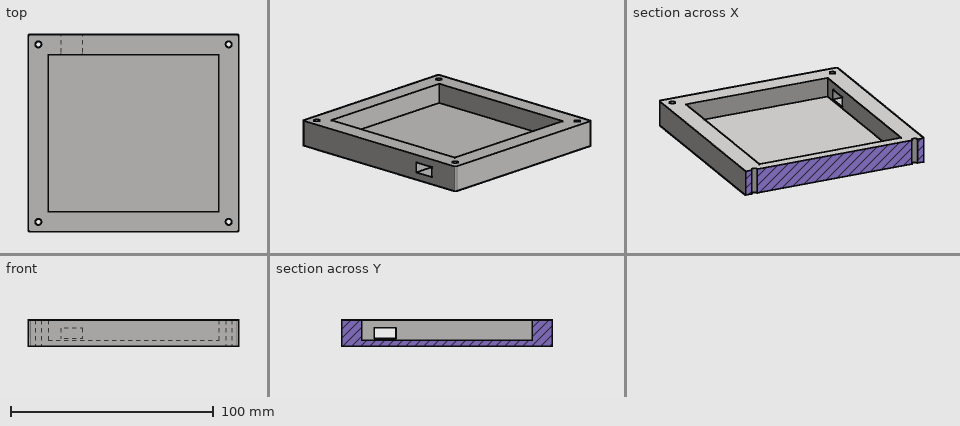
import cadquery as cq

length = 103.8
width = 97.5
height = 13.0
corner_radius = 1.0

floor_thickness = 3.0
cavity_length = 83.9
cavity_width = 77.5
wall = (width - cavity_width) / 2
cavity_depth = height - floor_thickness

hole_diameter = 2.9
hole_inset = 5.0

opening_length = 10.6
opening_height = 5.2
opening_offset = 16.1
opening_sill = 0.8


def make_tray():
    body = cq.Workplane("XY").box(length, width, height, centered=(True, True, False))
    body = body.edges("|Z").fillet(corner_radius)
    cavity = (
        cq.Workplane("XY")
        .workplane(offset=floor_thickness)
        .rect(cavity_length, cavity_width)
        .extrude(cavity_depth)
    )
    return body.cut(cavity)


def make_screw_holes():
    return (
        cq.Workplane("XY")
        .rect(length - 2 * hole_inset, width - 2 * hole_inset, forConstruction=True)
        .vertices()
        .circle(hole_diameter / 2)
        .extrude(height)
    )


def make_cable_opening():
    corner = (
        opening_offset - length / 2,
        width / 2 - wall,
        floor_thickness + opening_sill,
    )
    block = cq.Workplane("XY").box(opening_length, wall, opening_height, centered=False)
    return block.translate(corner)


result = make_tray().cut(make_screw_holes()).cut(make_cable_opening())